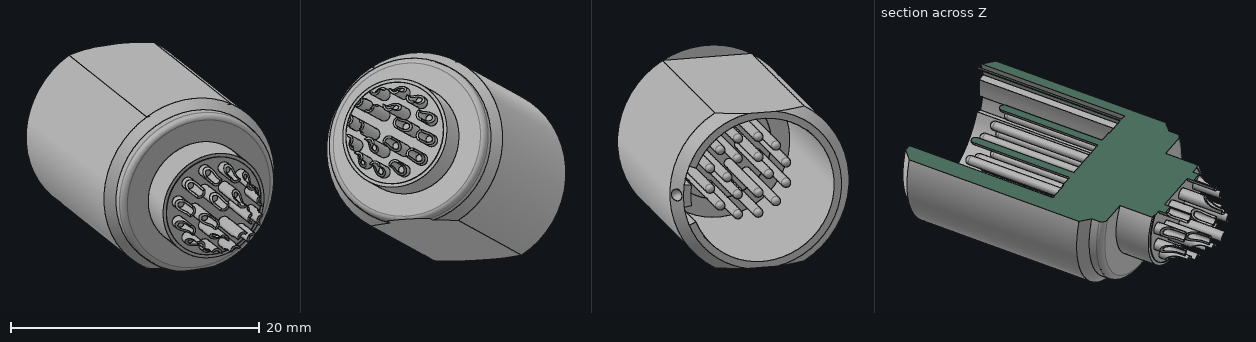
import cadquery as cq
import math

total_length = 25.5
shell_radius = 7.5
flat_height = 6.5
shell_length = 16.58
front_chamfer = 0.9
bore_radius = 6.0
bore_depth = 13.25

rim_radius = 6.75
cone_length = shell_radius - rim_radius
rim_end = 18.5
rim_fillet = 0.48

insert_radius = 4.44
insert_end = 21.47
insert_step = 0.08
rear_step_radius = 4.15

keyway_radius = shell_radius - front_chamfer
key_half_angle = 8.2
keyway_half_angle = 22.0

dimple_radius = 0.48

pin_radius = 0.38
pin_tip = 3.95

outer_ring = (12, 3.3, 15.0, 24.02)
inner_ring = (6, 1.73, 0.0, total_length)

cup_radius = 0.48
cup_hole_radius = 0.3
cup_length = 1.9
scoop_radius = 1.84
scoop_depth = 0.6


def cylinder_x(radius, start, end):
    """Solid cylinder on the X axis between two X positions."""
    return cq.Workplane("YZ", origin=(start, 0, 0)).circle(radius).extrude(end - start)


def make_body():
    """Revolved shell and rim; the upper flat stops at the rim, the lower one runs through."""
    rim_fillet_mid = rim_fillet * (1 - math.sqrt(0.5))
    profile = (
        cq.Workplane("XY")
        .lineTo(0, shell_radius - front_chamfer)
        .lineTo(front_chamfer, shell_radius)
        .lineTo(shell_length, shell_radius)
        .lineTo(shell_length + cone_length, rim_radius)
        .lineTo(rim_end - rim_fillet, rim_radius)
        .threePointArc(
            (rim_end - rim_fillet_mid, rim_radius - rim_fillet_mid),
            (rim_end, rim_radius - rim_fillet),
        )
        .lineTo(rim_end, 0)
        .close()
    )
    body = profile.revolve(360, (0, 0, 0), (1, 0, 0))
    width = 2 * shell_radius
    flat_offset = flat_height + width / 2
    for length, side in ((shell_length, 1), (rim_end, -1)):
        cutter = cq.Workplane("XY").box(length, width, width)
        body = body.cut(cutter.translate((length / 2, 0, side * flat_offset)))
    return body


def make_keyway_recess(start_angle, end_angle):
    """Ring sector along the bore; angles are measured from +Y towards +Z."""
    def point(radius, angle):
        a = math.radians(angle)
        return (radius * math.cos(a), radius * math.sin(a))

    middle_angle = (start_angle + end_angle) / 2
    return (
        cq.Workplane("YZ")
        .moveTo(*point(bore_radius, start_angle))
        .lineTo(*point(keyway_radius, start_angle))
        .threePointArc(point(keyway_radius, middle_angle), point(keyway_radius, end_angle))
        .lineTo(*point(bore_radius, end_angle))
        .threePointArc(point(bore_radius, middle_angle), point(bore_radius, start_angle))
        .close()
        .extrude(bore_depth)
    )


def make_dimple():
    """Ball centred halfway along the front chamfer on the +Y side."""
    half = front_chamfer / 2
    return cq.Workplane("XY").sphere(dimple_radius).translate((half, shell_radius - half, 0))


def make_scoop(rear_end):
    """Cutter that opens the outer side of a cup, running in along an arc."""
    cup_start = rear_end - cup_length
    floor_height = cup_radius - scoop_depth
    sweep = math.acos(1 - scoop_depth / scoop_radius)
    arc_end = cup_start + scoop_radius * math.sin(sweep)
    arc_middle = (
        arc_end - scoop_radius * math.sin(sweep / 2),
        floor_height + scoop_radius * (1 - math.cos(sweep / 2)),
    )
    return (
        cq.Workplane("XY")
        .moveTo(cup_start, cup_radius)
        .threePointArc(arc_middle, (arc_end, floor_height))
        .lineTo(rear_end, floor_height)
        .lineTo(rear_end, cup_radius)
        .close()
        .extrude(cup_radius, both=True)
    )


def make_contact(rear_end):
    """Contact on the X axis: domed pin in front, solder cup opening to +Y behind."""
    dome = cq.Workplane("XY").sphere(pin_radius).translate((pin_tip + pin_radius, 0, 0))
    pin = cylinder_x(pin_radius, pin_tip + pin_radius, insert_end).union(dome)
    cup = cylinder_x(cup_radius, rim_end, rear_end)
    cup = cup.cut(cylinder_x(cup_hole_radius, rear_end - cup_length, rear_end))
    cup = cup.cut(make_scoop(rear_end))
    return pin.union(cup)


body = make_body().cut(cylinder_x(bore_radius, 0, bore_depth))
for side in (-1, 1):
    body = body.cut(make_keyway_recess(side * key_half_angle, side * keyway_half_angle))
body = body.cut(make_dimple())
body = body.union(cylinder_x(insert_radius, bore_depth - insert_step, insert_end))
body = body.union(cylinder_x(rear_step_radius, rim_end, insert_end + insert_step))

for count, pitch_radius, first_angle, rear_end in (outer_ring, inner_ring):
    contact = make_contact(rear_end).translate((0, pitch_radius, 0))
    for i in range(count):
        angle = first_angle + i * 360 / count
        body = body.union(contact.rotate((0, 0, 0), (1, 0, 0), angle))

result = body